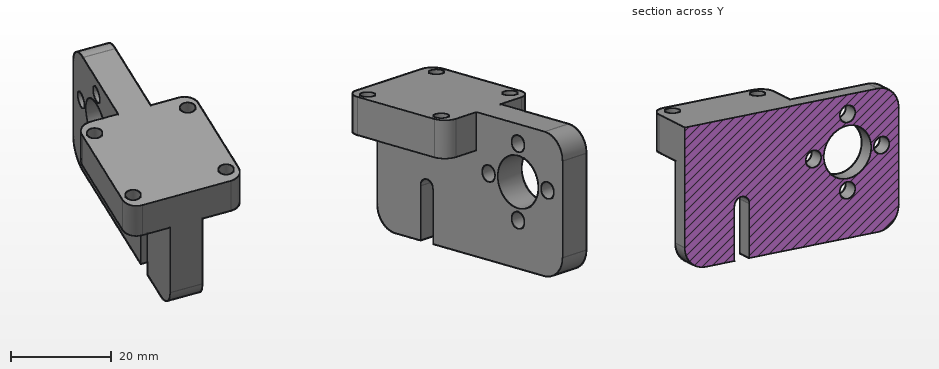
import cadquery as cq

plate_length = 50.41
plate_height = 30.2
plate_thickness = 7.0
plate_corner_radius = 5.0

flange_length = 27.0
flange_width = 25.0
flange_thickness = 8.0
flange_corner_radius = 3.0
flange_hole_diameter = 3.12
flange_hole_pitch = 20.0

bore_diameter = 11.0
bore_x = 12.1
bore_z = 18.1
bore_screw_diameter = 3.5
bore_screw_circle_diameter = 16.0
bore_screw_count = 4

slot_width = 3.4
slot_height = 13.2

flange_center_x = plate_length - flange_length / 2


def upright_plate():
    """Plate with three rounded corners; the top right corner, inside the flange, is square."""
    plate = cq.Workplane("XY").box(
        plate_length, plate_thickness, plate_height, centered=(False, True, False)
    )
    plate = plate.edges("|Y and <X").fillet(plate_corner_radius)
    return plate.edges("|Y and >X and <Z").fillet(plate_corner_radius)


def flange():
    """Rounded rectangular flange with a hole near each corner."""
    return (
        cq.Workplane("XY", origin=(flange_center_x, 0, plate_height - flange_thickness))
        .rect(flange_length, flange_width)
        .extrude(flange_thickness)
        .edges("|Z")
        .fillet(flange_corner_radius)
    )


def flange_holes():
    """Four vertical holes through the flange."""
    return (
        cq.Workplane("XY", origin=(flange_center_x, 0, plate_height - flange_thickness))
        .rect(flange_hole_pitch, flange_hole_pitch, forConstruction=True)
        .vertices()
        .circle(flange_hole_diameter / 2)
        .extrude(flange_thickness)
    )


def plate_section(x, z):
    """Sketch plane across the plate with its origin at (x, z)."""
    return cq.Workplane("XZ", origin=(x, 0, z))


def bore_and_screw_holes():
    """Central bore with equally spaced screw holes around it."""
    bore = plate_section(bore_x, bore_z).circle(bore_diameter / 2)
    screws = (
        plate_section(bore_x, bore_z)
        .polarArray(bore_screw_circle_diameter / 2, 0, 360, bore_screw_count)
        .circle(bore_screw_diameter / 2)
    )
    half_thickness = plate_thickness / 2
    bore_solid = bore.extrude(half_thickness, both=True)
    return bore_solid.union(screws.extrude(half_thickness, both=True))


def open_slot():
    """Slot with a round upper end, open at the lower edge of the plate."""
    half_width = slot_width / 2
    straight_height = slot_height - half_width
    return (
        plate_section(flange_center_x, 0)
        .moveTo(-half_width, 0)
        .lineTo(half_width, 0)
        .lineTo(half_width, straight_height)
        .threePointArc((0, slot_height), (-half_width, straight_height))
        .close()
        .extrude(plate_thickness / 2, both=True)
    )


result = (
    upright_plate()
    .union(flange())
    .cut(flange_holes())
    .cut(bore_and_screw_holes())
    .cut(open_slot())
)